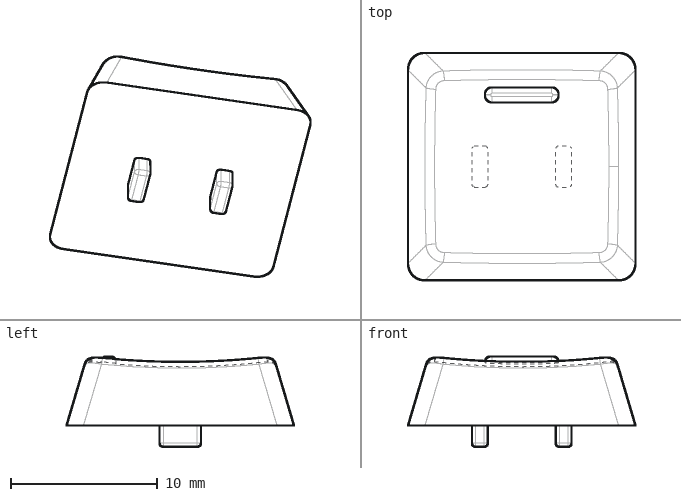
import cadquery as cq
import math

BASE_SIZE = 15.5
WALL_SLOPE_RUN = 8.1
WALL_SLOPE_RISE = 27.4
BLANK_HEIGHT = 6.2
CORNER_RADIUS = 1.21
RIM_RADIUS = 0.62

DISH_RADIUS = 51.15
DISH_LOWEST_Z = 4.0

BAR_LENGTH = 5.02
BAR_WIDTH = 1.04
BAR_Y = 4.88
BAR_TOP_Z = 4.71
BAR_END_RADIUS = 0.5
BAR_TOP_RADIUS = 0.4
BAR_BOTTOM_Z = DISH_LOWEST_Z - 0.78

POST_WIDTH = 1.1
POST_DEPTH = 2.84
POST_LENGTH = 1.45
POST_SPACING = 5.7
POST_EDGE_RADIUS = 0.26
POST_OVERLAP = 0.31


def make_cap():
    """Drafted square block with rounded corners, a dished top and a rounded rim."""
    draft = math.degrees(math.atan(WALL_SLOPE_RUN / WALL_SLOPE_RISE))
    blank = cq.Workplane("XY").rect(BASE_SIZE, BASE_SIZE).extrude(BLANK_HEIGHT, taper=draft)
    blank = blank.edges("not(#Z)").edges("not(|X or |Y)").fillet(CORNER_RADIUS)
    dish = cq.Workplane("XY").sphere(DISH_RADIUS).translate((0, 0, DISH_LOWEST_Z + DISH_RADIUS))
    return blank.cut(dish).faces(">Z").edges().fillet(RIM_RADIUS)


def make_homing_bar():
    """Rounded bar standing proud of the dish near its +Y edge."""
    return (
        cq.Workplane("XY", origin=(0, BAR_Y, BAR_BOTTOM_Z))
        .rect(BAR_LENGTH, BAR_WIDTH)
        .extrude(BAR_TOP_Z - BAR_BOTTOM_Z)
        .edges("|Z")
        .fillet(BAR_END_RADIUS)
        .faces(">Z")
        .edges()
        .fillet(BAR_TOP_RADIUS)
    )


def make_posts():
    """Two flat posts with rounded corners and rounded lower ends."""
    return (
        cq.Workplane("XY", origin=(0, 0, -POST_LENGTH))
        .rarray(POST_SPACING, 0.15, 2, 1)
        .rect(POST_WIDTH, POST_DEPTH)
        .extrude(POST_LENGTH + POST_OVERLAP)
        .edges("|Z")
        .fillet(POST_EDGE_RADIUS)
        .faces("<Z")
        .edges()
        .fillet(POST_EDGE_RADIUS)
    )


result = make_cap().union(make_homing_bar()).union(make_posts())